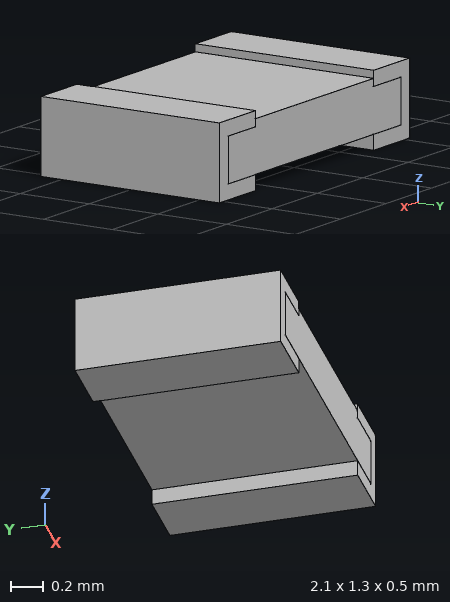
import cadquery as cq

LENGTH = 2.1
WIDTH = 1.3
HEIGHT = 0.5

FLANGE_LENGTH = 0.4
TERMINAL_THICKNESS = 0.1

STEP_BELOW_TOP = 0.05

core_length = LENGTH - 2 * TERMINAL_THICKNESS
core_height = HEIGHT - 2 * TERMINAL_THICKNESS
raised_length = LENGTH - 2 * FLANGE_LENGTH
raised_height = TERMINAL_THICKNESS - STEP_BELOW_TOP


def standing_box(length, height, base_z):
    """Full-width block centred in X and Y with its underside at base_z."""
    block = cq.Workplane("XY").box(length, WIDTH, height, centered=(True, True, False))
    return block.translate((0, 0, base_z))


def make_core():
    """Ceramic slab with a raised strip that fills the gap between the upper flanges."""
    slab = standing_box(core_length, core_height, TERMINAL_THICKNESS)
    raised_strip = standing_box(raised_length, raised_height, TERMINAL_THICKNESS + core_height)
    return slab.union(raised_strip)


def make_terminal(side):
    """C-shaped cap around one end of the core; side is -1 or +1 along X."""
    end_x = side * LENGTH / 2
    wall_x = side * core_length / 2
    flange_x = side * raised_length / 2
    lower_z = TERMINAL_THICKNESS
    upper_z = HEIGHT - TERMINAL_THICKNESS
    outline = [
        (end_x, 0),
        (flange_x, 0),
        (flange_x, lower_z),
        (wall_x, lower_z),
        (wall_x, upper_z),
        (flange_x, upper_z),
        (flange_x, HEIGHT),
        (end_x, HEIGHT),
    ]
    return cq.Workplane("XZ").polyline(outline).close().extrude(WIDTH / 2, both=True)


core = make_core()
terminals = [make_terminal(side) for side in (-1, 1)]

result = cq.Compound.makeCompound([core.val(), *[terminal.val() for terminal in terminals]])